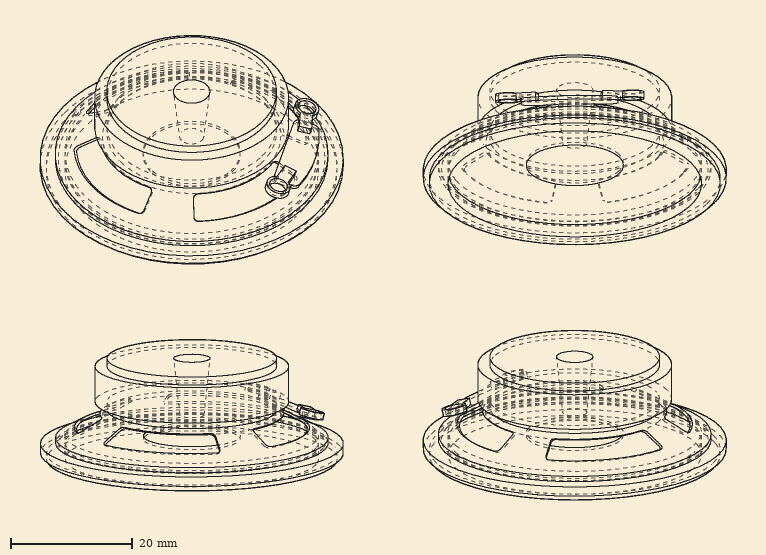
import cadquery as cq
import math

flange_radius = 25.0
flange_step_radius = 24.0
flange_step_height = 1.0
flange_top = 2.6

groove_radius = 22.0
rim_radius = 22.5
rim_bottom = 2.7
rim_top = 3.6
neck_radius = 14.0
cone_top = 8.3
shell_thickness = 0.45
rim_wall = 1.6
rear_plate_thickness = 0.9

magnet_radius = 16.0
magnet_bottom = 9.65
magnet_top = 15.65
overall_height = 17.0
vent_top_radius = 3.0
vent_bottom_radius = 2.0

diaphragm_thickness = 0.5
diaphragm_slope = 5.0
cap_radius = 8.0
cap_top = 5.8
cap_sphere_radius = 17.5

window_count = 4
window_angle = 64.0
window_bottom = 5.3
window_top = 7.65
window_rim_slope = 35.0
window_corner_radius = 0.75
window_cut_margin = 0.25

terminal_azimuth = 43.6
terminal_tilt = 15.0
board_inner_distance = 15.7
board_inner_height = 7.8
board_thickness = 0.6
board_depth = 5.4
board_half_length = 8.0
board_edge_rise = 1.3
board_corner_radius = 1.25

lug_thickness = 1.1
lug_ring_radius = 2.0
lug_hole_radius = 1.5
lug_spacing = 20.5
lug_inset = 1.2
tab_length = 5.0
tab_width = 2.1
tab_angle = 10.5

cone_angle = math.atan2(cone_top - rim_top, rim_radius - neck_radius)
cone_slope = math.tan(cone_angle)
shell_drop = shell_thickness / math.cos(cone_angle)
plate_underside = cone_top - rear_plate_thickness


def cone_radius_at(height):
    """Outer radius of the conical shell at a height."""
    return rim_radius - (height - rim_top) / cone_slope


def make_body_of_revolution():
    """Flange, diaphragm, dust cap, shell and magnet as one hollow turned profile."""
    cap_edge_drop = cap_sphere_radius - math.sqrt(cap_sphere_radius**2 - cap_radius**2)
    cap_edge = cap_top - cap_edge_drop
    cap_mid_radius = cap_radius / 2
    cap_mid_drop = cap_sphere_radius - math.sqrt(cap_sphere_radius**2 - cap_mid_radius**2)
    cap_mid = cap_top - cap_mid_drop
    inner_rim_radius = rim_radius - rim_wall
    diaphragm_drop = (inner_rim_radius - cap_radius) * math.tan(math.radians(diaphragm_slope))
    diaphragm_edge = cap_edge - diaphragm_drop
    inner_wall_top = rim_top + cone_slope * (rim_radius - inner_rim_radius) - shell_drop
    inner_plate_radius = cone_radius_at(plate_underside + shell_drop)
    under = diaphragm_thickness

    return (
        cq.Workplane("XZ")
        .moveTo(0, cap_top)
        .threePointArc((cap_mid_radius, cap_mid), (cap_radius, cap_edge))
        .lineTo(inner_rim_radius, diaphragm_edge)
        .lineTo(inner_rim_radius, inner_wall_top)
        .lineTo(inner_plate_radius, plate_underside)
        .lineTo(0, plate_underside)
        .lineTo(0, overall_height)
        .lineTo(neck_radius, overall_height)
        .lineTo(neck_radius, magnet_top)
        .lineTo(magnet_radius, magnet_top)
        .lineTo(magnet_radius, magnet_bottom)
        .lineTo(neck_radius, magnet_bottom)
        .lineTo(neck_radius, cone_top)
        .lineTo(rim_radius, rim_top)
        .lineTo(rim_radius, rim_bottom)
        .lineTo(groove_radius, rim_bottom)
        .lineTo(groove_radius, flange_top)
        .lineTo(flange_radius, flange_top)
        .lineTo(flange_radius, flange_step_height)
        .lineTo(flange_step_radius, flange_step_height)
        .lineTo(flange_step_radius, 0)
        .lineTo(inner_rim_radius, 0)
        .lineTo(inner_rim_radius, diaphragm_edge - under)
        .lineTo(cap_radius, cap_edge - under)
        .threePointArc((cap_mid_radius, cap_mid - under), (0, cap_top - under))
        .close()
        .revolve(360, (0, 0, 0), (0, 1, 0))
    )


def make_vent():
    """Tapered hole through the magnet into the basket."""
    vent_depth = overall_height - plate_underside
    return cq.Workplane(
        cq.Solid.makeCone(vent_bottom_radius, vent_top_radius, vent_depth)
    ).translate((0, 0, plate_underside))


def make_window(azimuth):
    """Cutter for one window, its rims sloping down toward the axis and its corners rounded."""
    rim_slope = math.radians(window_rim_slope)

    def shell_point(height, offset):
        radius = cone_radius_at(height) + offset * math.cos(rim_slope)
        return radius, height + offset * math.sin(rim_slope)

    inside = -2 * shell_thickness
    rim_length = window_cut_margin - inside
    cutter = (
        cq.Workplane("XZ")
        .polyline([
            shell_point(window_bottom, inside),
            shell_point(window_bottom, window_cut_margin),
            shell_point(window_top, window_cut_margin),
            shell_point(window_top, inside),
        ])
        .close()
        .revolve(window_angle, (0, 0, 0), (0, 1, 0))
    )
    corners = [edge for edge in cutter.edges("%LINE").vals() if abs(edge.Length() - rim_length) < 0.005]
    rounded = cutter.newObject(corners).fillet(window_corner_radius)
    middle = cutter.val().Center()
    middle_azimuth = math.degrees(math.atan2(middle.y, middle.x))
    return rounded.rotate((0, 0, 0), (0, 0, 1), azimuth - middle_azimuth)


def make_speaker():
    speaker = make_body_of_revolution().cut(make_vent())
    for index in range(window_count):
        speaker = speaker.cut(make_window(index * 360 / window_count))
    return speaker


def terminal_plane():
    """Upper face of the board: local x points outward, local y runs along the board."""
    azimuth = math.radians(terminal_azimuth)
    tilt = math.radians(terminal_tilt)
    cos_azimuth = math.cos(azimuth)
    sin_azimuth = math.sin(azimuth)
    origin = (board_inner_distance * cos_azimuth, board_inner_distance * sin_azimuth, board_inner_height)
    outward = (math.cos(tilt) * cos_azimuth, math.cos(tilt) * sin_azimuth, -math.sin(tilt))
    normal = (math.sin(tilt) * cos_azimuth, math.sin(tilt) * sin_azimuth, math.cos(tilt))
    return cq.Plane(origin=origin, xDir=outward, normal=normal)


def make_board():
    """Thin board with a straight inner edge and a bowed outer edge."""
    outer_corner = board_depth - board_edge_rise
    return (
        cq.Workplane(terminal_plane())
        .moveTo(0, -board_half_length)
        .lineTo(outer_corner, -board_half_length)
        .threePointArc((board_depth, 0), (outer_corner, board_half_length))
        .lineTo(0, board_half_length)
        .close()
        .extrude(-board_thickness)
        .edges(cq.selectors.ParallelDirSelector(terminal_plane().zDir))
        .fillet(board_corner_radius)
    )


def make_lug(side):
    """Ring with a tab that lies on the board; side is -1 or 1 along the board."""
    plane = terminal_plane()
    plane.origin = plane.toWorldCoords((lug_inset, side * lug_spacing / 2, 0))
    plane = plane.rotated((0, 0, -side * (90 - tab_angle)))
    return (
        cq.Workplane(plane)
        .circle(lug_ring_radius)
        .extrude(lug_thickness)
        .union(cq.Workplane(plane).center(tab_length / 2, 0).rect(tab_length, tab_width).extrude(lug_thickness))
        .cut(cq.Workplane(plane).circle(lug_hole_radius).extrude(lug_thickness))
    )


board = make_board()
lugs = [make_lug(side) for side in (-1, 1)]
speaker = make_speaker().cut(board)

result = cq.Compound.makeCompound([
    speaker.val(),
    board.val(),
    *[lug.val() for lug in lugs],
])